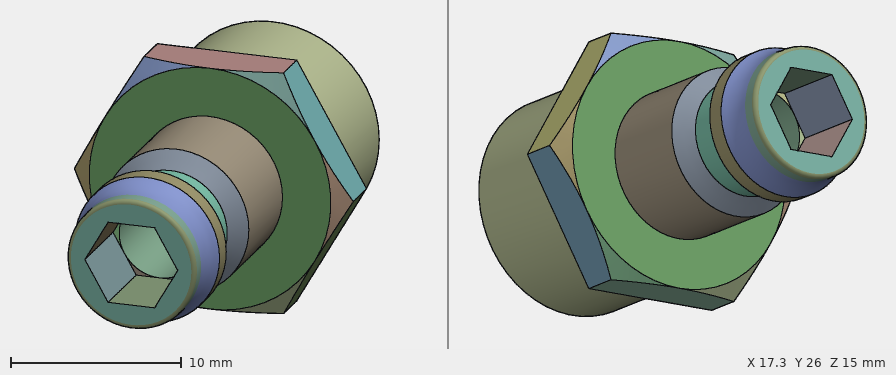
import cadquery as cq
import math

length = 26.0
tip_end = 1.0
collar_start = 2.8
collar_end = 4.0
groove_start = 5.0
groove_end = 7.0
stem_start = 8.0
hex_start = 14.0
hex_end = 17.0

tip_radius = 4.0
stem_radius = 4.5
groove_radius = 3.5
body_radius = 6.58
bore_radius = 2.5

tip_round = 0.25
body_chamfer = 0.75
flare_bulge = 0.13

hex_flats = 15.0
hex_bevel_angle = 30.0
socket_flats = 2 * bore_radius
socket_depth = 5.0


def across_corners(flats):
    return flats / math.cos(math.radians(30))


def hex_prism(flats, start, end):
    """Hexagonal prism along +Y with two corners on the X axis."""
    return (
        cq.Workplane("XZ", origin=(0, start, 0))
        .polygon(6, across_corners(flats))
        .extrude(start - end)
    )


def revolve_about_axis(profile):
    return profile.close().revolve(360, (0, 0, 0), (0, 1, 0))


def turned_body():
    """Plug, locking groove, stem and rear cylinder."""
    flare_middle = (
        (tip_radius + stem_radius) / 2 - flare_bulge,
        (tip_end + collar_start) / 2,
    )
    round_middle = (
        tip_radius - tip_round * (1 - math.sqrt(0.5)),
        tip_round * (1 - math.sqrt(0.5)),
    )
    profile = (
        cq.Workplane("XY")
        .lineTo(tip_radius - tip_round, 0)
        .threePointArc(round_middle, (tip_radius, tip_round))
        .lineTo(tip_radius, tip_end)
        .threePointArc(flare_middle, (stem_radius, collar_start))
        .lineTo(stem_radius, collar_end)
        .lineTo(groove_radius, groove_start)
        .lineTo(groove_radius, groove_end)
        .lineTo(stem_radius, stem_start)
        .lineTo(stem_radius, hex_start)
        .lineTo(body_radius, hex_start)
        .lineTo(body_radius, length - body_chamfer)
        .lineTo(body_radius - body_chamfer, length)
        .lineTo(0, length)
    )
    return revolve_about_axis(profile)


def hex_collar():
    """Wrench hexagon with its corners bevelled on the plug side."""
    inner_radius = hex_flats / 2
    corner_radius = across_corners(hex_flats) / 2
    bevel_depth = (corner_radius - inner_radius) * math.tan(math.radians(hex_bevel_angle))
    bevel_envelope = (
        cq.Workplane("XY")
        .moveTo(0, hex_start)
        .lineTo(inner_radius, hex_start)
        .lineTo(corner_radius, hex_start + bevel_depth)
        .lineTo(corner_radius, hex_end)
        .lineTo(0, hex_end)
    )
    return hex_prism(hex_flats, hex_start, hex_end).intersect(revolve_about_axis(bevel_envelope))


bore = cq.Workplane("XZ").circle(bore_radius).extrude(-length)
socket = hex_prism(socket_flats, 0, socket_depth)

solid = turned_body().union(hex_collar()).cut(bore).cut(socket)

result = solid.translate((0, -length / 2, 0))